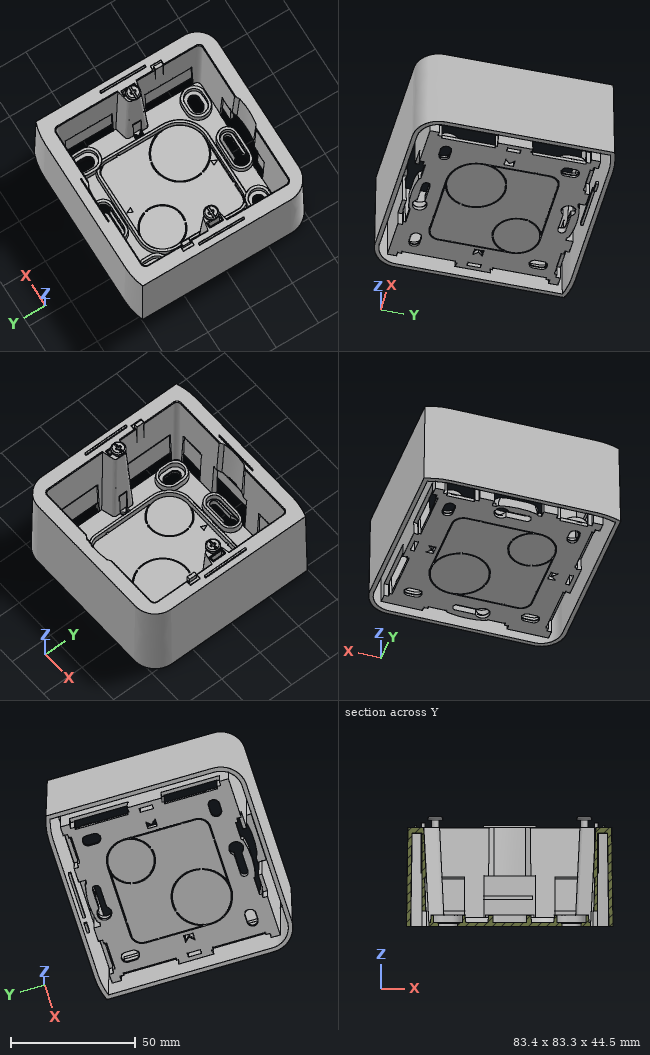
import cadquery as cq
import math

WIDTH = 83.4
DEPTH = 83.3
HEIGHT = 40.0
OUTER_DRAFT = 0.6
FRONT_RADIUS = 10.85
BACK_ARC_RADIUS = 30.0
BACK_ARC_DROP = 2.0
SKIN = 1.8
HOLLOW_TOP = 37.5
INNER_SKIN_BACK = 35.45

FLOOR = 1.7
WELL_TOP = 34.6
WELL_BOTTOM = 32.6
WELL_RADIUS = 2.1
MOUTH_BEVEL = 0.3

ENTRY_FACE = (33.6, 34.2)
ENTRY_TOP = 19.2
ENTRY_RISE = 2.1
WINDOW_TOP = 6.25
WINDOW_FLARE = 1.7
SIDE_ENTRY = (7.75, 29.9)
BACK_ENTRY = (18.2, 29.8)
FRONT_ENTRY_HALF = 16.3
SCALLOP_HALF = 8.7
SCALLOP_ARC_HALF = 6.3
SCALLOP_RISE = 0.6
SCALLOP_LOW = (33.5, 34.5)
SCALLOP_HIGH = (34.4, 35.8)
SCALLOP_BOTTOM = 20.4
SCALLOP_BACKING = 37.3
MIDDLE_WINDOW_HALF = 10.4
LEDGE_HEIGHT = 1.5
LEDGE_DEPTH = 1.2
LEDGE_STEPS = ((-10.85, 9.2, 12.35), (10.85, 15.0, 10.1))

BOSS_TOP = 4.6
BOSS_WALL = 1.5
BOSS_DRAFT = 6.0
CORNER_BOSS = (14.5, 11.35)
CORNER_HOLE = (7.4, 4.4)
HOLE_BEVEL = 0.3
UPRIGHT_BOSS = (26.4, 25.0)
LEVEL_BOSS = (24.85, -26.5)
KEYHOLE_BOSS = (20.0, 9.8)
KEYHOLE_Y = 29.5
KEYHOLE_ENTRY_X = 5.6
KEYHOLE_ENTRY_RADIUS = 2.9
KEYHOLE_SLOT_END = 6.9
KEYHOLE_SLOT_WIDTH = 3.2
KEYHOLE_SEAT = 1.5
SEAT_SLOPE = 45.0
SEAT_LAND = 0.2
KEYHOLE_TRIM_RADIUS = 34.4

OPENING_X = 45.5
OPENING_Y = 44.9
LIP_TOP = 3.75
LIP_WIDTH = 1.7
LIP_DRAFT = 14.0
GAP = 0.4
PLATE_TOP = 1.5
SMALL_RADIUS = 5.0
SMALL_DISC = 9.8
LARGE_DISC = 12.35
TAB_WIDTH = 1.0
SMALL_DISC_BRIDGES = (15, 254)
LARGE_DISC_BRIDGES = (75, 196)
SIDE_TAB_Y = 11.85
END_TAB_X = 11.9
ARROW_TIP = 21.4
ARROW_BASE = 19.1
ARROW_HALF = 1.1
ARROW_DEPTH = 0.2

SCREW_X = 30.0
TOWER_FOOT = (26.35, 5.2, 7.4)
TOWER_HEAD = (28.3, 3.0, 4.6)
TOWER_RADIUS = 1.5
TOWER_SLOT = (32.0, 33.7)
TOWER_RECESS = (0.5, 0.4)
TOWER_SLOT_HALF = 2.75
FLOOR_SLOT_HALF = 1.9
FLOOR_SLOT = (24.35, 27.3)
NOTCH_TOP = 13.35
POINTER_TIP = 25.4

RIDGE_LENGTH = 21.35
RIDGE_WIDTH = 0.8
RIDGE_HEIGHT = 0.75
RIDGE_SIDE_X = 37.95
BACK_RIDGE_Y = 36.6
BACK_RIDGE_WIDTH = 0.3
CLIP_Y = 14.9
CLIP_WIDTH = 3.7
CLIP_X = (34.1, 35.7)
CLIP_TOP = 41.9
CLIP_BOTTOM = 21.7
CLIP_POCKET = (37.0, 5.0, 0.4)

SCREW_TOP = 44.45
HEAD_RADIUS = 3.1
HEAD_HEIGHT = 1.5
HEAD_BEVEL = 0.6
SHANK_RADIUS = 1.6
SHANK_BOTTOM = 25.0
DRIVE_WIDTH = 0.8
DRIVE_DEPTH = 0.8
CROSS_LENGTH = 2.3


def block(x0, x1, y0, y1, z0, z1):
    """Box between two values on each axis."""
    return cq.Workplane("XY").box(x1 - x0, y1 - y0, z1 - z0, centered=False).translate((x0, y0, z0))


def turned(shape):
    """The same shape half a turn round the vertical axis."""
    return shape.rotate((0, 0, 0), (0, 0, 1), 180)


def square_loft(z0, half0, z1, half1, radius):
    lower = cq.Sketch().rect(2 * half0, 2 * half0).vertices().fillet(radius)
    upper = cq.Sketch().rect(2 * half1, 2 * half1).vertices().fillet(radius)
    return (
        cq.Workplane("XY", origin=(0, 0, z0))
        .placeSketch(lower, upper.moved(cq.Location(cq.Vector(0, 0, z1 - z0))))
        .loft()
    )


def outer_outline():
    side = WIDTH / 2
    front = -DEPTH / 2
    back = DEPTH / 2
    arc_angle = math.acos(1 - BACK_ARC_DROP / BACK_ARC_RADIUS)
    arc_start = side - BACK_ARC_RADIUS * math.sin(arc_angle)
    mid_x = arc_start + BACK_ARC_RADIUS * math.sin(arc_angle / 2)
    mid_y = back - BACK_ARC_RADIUS * (1 - math.cos(arc_angle / 2))
    corner = back - BACK_ARC_DROP
    return (
        cq.Workplane("XY")
        .moveTo(FRONT_RADIUS - side, front)
        .lineTo(side - FRONT_RADIUS, front)
        .radiusArc((side, front + FRONT_RADIUS), -FRONT_RADIUS)
        .lineTo(side, corner)
        .threePointArc((mid_x, mid_y), (arc_start, back))
        .lineTo(-arc_start, back)
        .threePointArc((-mid_x, mid_y), (-side, corner))
        .lineTo(-side, front + FRONT_RADIUS)
        .radiusArc((FRONT_RADIUS - side, front), -FRONT_RADIUS)
        .close()
    )


def make_shell():
    draft = math.degrees(math.atan(OUTER_DRAFT / HEIGHT))
    shell = outer_outline().extrude(HEIGHT, taper=draft)
    core = cq.Workplane("XY").rect(2 * INNER_SKIN_BACK, 2 * INNER_SKIN_BACK).extrude(HOLLOW_TOP)
    hollow = outer_outline().offset2D(-SKIN).extrude(HOLLOW_TOP, taper=draft).cut(core)
    return shell.cut(hollow)


def well():
    well_body = square_loft(FLOOR, WELL_BOTTOM, HEIGHT, WELL_TOP, WELL_RADIUS)
    mouth = square_loft(HEIGHT - MOUTH_BEVEL, WELL_TOP, HEIGHT, WELL_TOP + MOUTH_BEVEL, WELL_RADIUS)
    return well_body.union(mouth)


def entry(start, end):
    """Recess that thins a panel of the back wall, with the open window below it."""
    recess = (
        cq.Workplane("YZ", origin=(start, 0, 0))
        .moveTo(WELL_BOTTOM, 0)
        .lineTo(ENTRY_FACE[0], 0)
        .lineTo(ENTRY_FACE[1], ENTRY_TOP)
        .lineTo(WELL_BOTTOM, ENTRY_TOP + ENTRY_RISE)
        .close()
        .extrude(end - start)
    )
    window = block(start - WINDOW_FLARE, end + WINDOW_FLARE, ENTRY_FACE[0], INNER_SKIN_BACK, 0, WINDOW_TOP)
    return recess.union(window)


def entries():
    front = turned(entry(-FRONT_ENTRY_HALF, FRONT_ENTRY_HALF))
    back = entry(*BACK_ENTRY)
    cuts = front.union(back).union(back.mirror("YZ"))
    side = entry(*SIDE_ENTRY).rotate((0, 0, 0), (0, 0, 1), 90)
    for half in (side, side.mirror("XZ")):
        cuts = cuts.union(half).union(half.mirror("YZ"))
    return cuts


def scallop_outline(z, flare):
    start_y, end_y = flare
    return (
        cq.Workplane("XY", origin=(0, 0, z))
        .moveTo(-SCALLOP_HALF, WELL_BOTTOM)
        .lineTo(-SCALLOP_HALF, start_y)
        .lineTo(-SCALLOP_ARC_HALF, end_y)
        .threePointArc((0, end_y + SCALLOP_RISE), (SCALLOP_ARC_HALF, end_y))
        .lineTo(SCALLOP_HALF, start_y)
        .lineTo(SCALLOP_HALF, WELL_BOTTOM)
        .close()
        .wires()
        .val()
    )


def scallop():
    lower = scallop_outline(SCALLOP_BOTTOM, SCALLOP_LOW)
    upper = scallop_outline(HEIGHT, SCALLOP_HIGH)
    return cq.Workplane(cq.Solid.makeLoft([lower, upper], True))


def scallop_backing():
    return block(-MIDDLE_WINDOW_HALF, MIDDLE_WINDOW_HALF, WELL_TOP, SCALLOP_BACKING,
                 SCALLOP_BOTTOM, HOLLOW_TOP)


def middle_window():
    half = MIDDLE_WINDOW_HALF
    return block(-half, half, WELL_BOTTOM, INNER_SKIN_BACK, 0, SCALLOP_BOTTOM)


def stadium(length, width, z0, z1, draft=0):
    return cq.Workplane("XY", origin=(0, 0, z0)).slot2D(length, width).extrude(z1 - z0, taper=draft)


def boss(length, width):
    return stadium(length, width, 0, FLOOR).union(stadium(length, width, FLOOR, BOSS_TOP, BOSS_DRAFT))


def boss_pocket(length, width):
    return stadium(length - 2 * BOSS_WALL, width - 2 * BOSS_WALL, FLOOR, BOSS_TOP)


def corner_hole():
    hole = stadium(*CORNER_HOLE, 0, FLOOR)
    bevel = stadium(CORNER_HOLE[0] + 2 * HOLE_BEVEL, CORNER_HOLE[1] + 2 * HOLE_BEVEL,
                    FLOOR - HOLE_BEVEL, FLOOR)
    return hole.union(bevel)


def keyhole():
    slot = stadium(KEYHOLE_SLOT_END * 2, KEYHOLE_SLOT_WIDTH, 0, BOSS_TOP)
    entry_hole = cq.Workplane("XY").center(KEYHOLE_ENTRY_X, 0).circle(KEYHOLE_ENTRY_RADIUS).extrude(BOSS_TOP)
    return slot.union(entry_hole)


def keyhole_seat():
    """Sloping seat that rises from the boss floor to the edge of the keyhole slot."""
    length = 2 * (KEYHOLE_SLOT_END + KEYHOLE_SEAT)
    width = KEYHOLE_SLOT_WIDTH + 2 * KEYHOLE_SEAT
    return stadium(length, width, FLOOR, FLOOR + KEYHOLE_SEAT - SEAT_LAND, SEAT_SLOPE)


def add_corner_bosses(body):
    hole = corner_hole()
    outside = boss(*CORNER_BOSS)
    pocket = boss_pocket(*CORNER_BOSS)
    for side in (-1, 1):
        for (x, y), angle in ((UPRIGHT_BOSS, 90), (LEVEL_BOSS, 0)):
            for shape, is_cut in ((outside, False), (pocket, True), (hole, True)):
                placed = shape.rotate((0, 0, 0), (0, 0, 1), angle).translate((side * x, y, 0))
                body = body.cut(placed) if is_cut else body.union(placed)
    return body


def add_keyhole_bosses(body):
    place = (0, KEYHOLE_Y, 0)
    trim = cq.Workplane("XY").circle(KEYHOLE_TRIM_RADIUS).extrude(BOSS_TOP)
    outside = boss(*KEYHOLE_BOSS).translate(place).intersect(trim)
    pocket = boss_pocket(*KEYHOLE_BOSS).cut(keyhole_seat()).union(keyhole()).translate(place)
    for turn in (0, 180):
        body = body.union(outside.rotate((0, 0, 0), (0, 0, 1), turn))
        body = body.cut(pocket.rotate((0, 0, 0), (0, 0, 1), turn))
    return body


def panel(margin, z0, z1, draft=0):
    """Rounded panel that matches the knockout opening, grown by a margin."""
    x = OPENING_X / 2 + margin
    y = OPENING_Y / 2 + margin
    small = SMALL_RADIUS + margin
    back_left = SMALL_DISC + margin
    front_right = LARGE_DISC + margin
    return (
        cq.Workplane("XY", origin=(0, 0, z0))
        .moveTo(small - x, -y)
        .lineTo(x - front_right, -y)
        .radiusArc((x, front_right - y), -front_right)
        .lineTo(x, y - small)
        .radiusArc((x - small, y), -small)
        .lineTo(back_left - x, y)
        .radiusArc((-x, y - back_left), -back_left)
        .lineTo(-x, small - y)
        .radiusArc((small - x, -y), -small)
        .close()
        .extrude(z1 - z0, taper=draft)
    )


def tower_outline(z, nose, nose_half, root_half):
    return (
        cq.Workplane("XY", origin=(0, 0, z))
        .moveTo(INNER_SKIN_BACK, -root_half)
        .lineTo(nose, -nose_half)
        .lineTo(nose, nose_half)
        .lineTo(INNER_SKIN_BACK, root_half)
        .close()
        .wires()
        .val()
    )


def tower():
    lower = tower_outline(0, *TOWER_FOOT)
    upper = tower_outline(HEIGHT, *TOWER_HEAD)
    body = cq.Workplane(cq.Solid.makeLoft([lower, upper], True))
    for side in (-1, 1):
        nose_edge = (TOWER_FOOT[0], side * TOWER_FOOT[1], HEIGHT / 2)
        body = body.edges(cq.selectors.NearestToPointSelector(nose_edge)).fillet(TOWER_RADIUS)
    return body


def pointer():
    """Pointed tongue that sticks into the floor slot from the tower."""
    return (
        cq.Workplane("XY")
        .moveTo(FLOOR_SLOT[1], -FLOOR_SLOT_HALF)
        .lineTo(POINTER_TIP, 0)
        .lineTo(FLOOR_SLOT[1], FLOOR_SLOT_HALF)
        .close()
        .extrude(FLOOR)
    )


def tower_cuts():
    slot = block(*TOWER_SLOT, -TOWER_SLOT_HALF, TOWER_SLOT_HALF, 0, HEIGHT)
    floor_slot = block(*FLOOR_SLOT, -FLOOR_SLOT_HALF, FLOOR_SLOT_HALF, 0, NOTCH_TOP)
    screw_hole = (
        cq.Workplane("XY", origin=(SCREW_X, 0, SHANK_BOTTOM))
        .circle(SHANK_RADIUS)
        .extrude(HEIGHT - SHANK_BOTTOM)
    )
    margin, depth = TOWER_RECESS
    recess = block(TOWER_SLOT[0] - margin, TOWER_SLOT[1] + margin, -TOWER_SLOT_HALF - margin,
                   TOWER_SLOT_HALF + margin, HEIGHT - depth, HEIGHT)
    return slot.union(recess).union(floor_slot).union(screw_hole)


def clip():
    """Upright tab on the right hand inner wall."""
    return block(*CLIP_X, -CLIP_Y - CLIP_WIDTH / 2, CLIP_WIDTH / 2 - CLIP_Y, CLIP_BOTTOM, CLIP_TOP)


def clip_pocket():
    outer, width, depth = CLIP_POCKET
    return block(CLIP_X[0], outer, -CLIP_Y - width / 2, width / 2 - CLIP_Y, HEIGHT - depth, HEIGHT)


def side_ridge():
    return cq.Workplane("XY", origin=(RIDGE_SIDE_X, 0, HEIGHT)).box(
        RIDGE_WIDTH, RIDGE_LENGTH, RIDGE_HEIGHT, centered=(True, True, False))


def back_ridge():
    return cq.Workplane("XY", origin=(0, BACK_RIDGE_Y, HEIGHT)).box(
        RIDGE_LENGTH, BACK_RIDGE_WIDTH, RIDGE_HEIGHT, centered=(True, True, False))


def back_ledge():
    """Stepped ledge inside the back skin, behind the middle window."""
    back = DEPTH / 2 - SKIN
    ledge = cq.Workplane("XY")
    for start, end, top in LEDGE_STEPS:
        ledge = ledge.add(block(start, end, back - LEDGE_DEPTH, back + SKIN / 2, top - LEDGE_HEIGHT, top))
    return ledge.combine()


def make_housing():
    body = make_shell().union(scallop_backing()).union(turned(scallop_backing()))
    body = body.cut(well()).cut(entries())
    for recess in (scallop(), middle_window()):
        body = body.cut(recess).cut(turned(recess))
    body = body.union(back_ledge()).union(tower()).union(turned(tower()))
    body = body.union(panel(LIP_WIDTH, FLOOR, LIP_TOP, LIP_DRAFT))
    body = add_keyhole_bosses(add_corner_bosses(body))
    body = body.cut(panel(0, 0, LIP_TOP))
    body = body.cut(tower_cuts()).cut(turned(tower_cuts()))
    body = body.union(pointer()).union(turned(pointer()))
    body = body.cut(clip_pocket()).cut(turned(clip_pocket())).union(clip()).union(turned(clip()))
    return body.union(side_ridge()).union(turned(side_ridge())).union(back_ridge())


def disc(x, y, radius, bridge_angles):
    """Knockout disc with the bridges that hold it to the plate."""
    shape = cq.Workplane("XY").circle(radius - GAP).extrude(PLATE_TOP)
    for angle in bridge_angles:
        bridge = block(radius - 2 * GAP, radius + GAP, -TAB_WIDTH / 2, TAB_WIDTH / 2, 0, PLATE_TOP)
        shape = shape.union(bridge.rotate((0, 0, 0), (0, 0, 1), angle))
    return shape.translate((x, y, 0))


def arrow():
    """Shallow triangular mark that points at the back edge of the plate."""
    return (
        cq.Workplane("XY", origin=(0, 0, PLATE_TOP - ARROW_DEPTH))
        .moveTo(-ARROW_HALF, ARROW_BASE)
        .lineTo(ARROW_HALF, ARROW_BASE)
        .lineTo(0, ARROW_TIP)
        .close()
        .extrude(ARROW_DEPTH)
    )


def make_plate():
    half_x = OPENING_X / 2
    half_y = OPENING_Y / 2
    plate = panel(-GAP, 0, PLATE_TOP)
    for x, y, radius, bridge_angles in (
        (SMALL_DISC - half_x, half_y - SMALL_DISC, SMALL_DISC, SMALL_DISC_BRIDGES),
        (half_x - LARGE_DISC, LARGE_DISC - half_y, LARGE_DISC, LARGE_DISC_BRIDGES),
    ):
        opening = cq.Workplane("XY").center(x, y).circle(radius).extrude(PLATE_TOP)
        plate = plate.cut(opening).union(disc(x, y, radius, bridge_angles))
    reach = TAB_WIDTH / 2
    edge_tab = block(half_x - 2 * GAP, half_x, SIDE_TAB_Y - reach, SIDE_TAB_Y + reach, 0, PLATE_TOP)
    end_tab = block(END_TAB_X - reach, END_TAB_X + reach, half_y - 2 * GAP, half_y, 0, PLATE_TOP)
    for tab in (edge_tab, end_tab):
        plate = plate.union(tab).union(turned(tab))
    return plate.cut(arrow()).cut(turned(arrow()))


def make_screw(x):
    neck_z = SCREW_TOP - HEAD_HEIGHT
    screw = cq.Workplane("XY", origin=(0, 0, neck_z)).circle(HEAD_RADIUS).extrude(HEAD_HEIGHT)
    screw = screw.faces(">Z").edges().chamfer(HEAD_BEVEL)
    shank_length = neck_z - SHANK_BOTTOM
    shank = cq.Workplane("XY", origin=(0, 0, SHANK_BOTTOM)).circle(SHANK_RADIUS).extrude(shank_length)
    drive_z = SCREW_TOP - DRIVE_DEPTH
    slot = block(-HEAD_RADIUS, HEAD_RADIUS, -DRIVE_WIDTH / 2, DRIVE_WIDTH / 2, drive_z, SCREW_TOP)
    cross = block(-DRIVE_WIDTH / 2, DRIVE_WIDTH / 2, -CROSS_LENGTH / 2, CROSS_LENGTH / 2, drive_z, SCREW_TOP)
    return screw.cut(slot).cut(cross).union(shank).translate((x, 0, 0))


housing = make_housing()
plate = make_plate()
screws = [make_screw(x) for x in (-SCREW_X, SCREW_X)]
result = cq.Compound.makeCompound([housing.val(), plate.val(), *[screw.val() for screw in screws]])